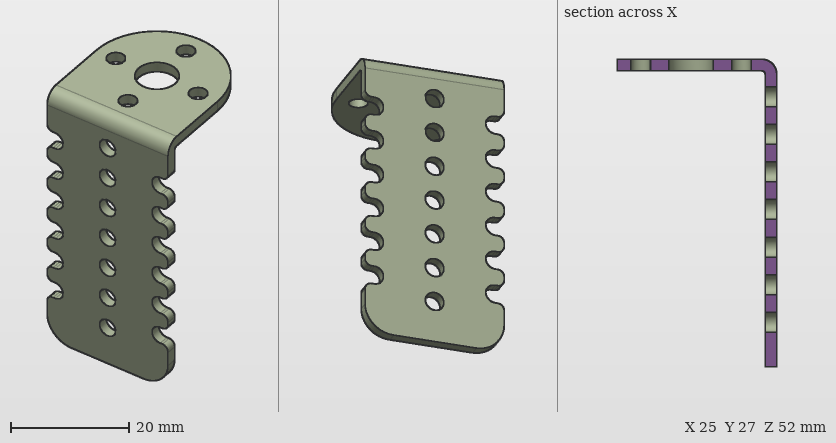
import cadquery as cq

width = 25.0
depth = 27.0
height = 52.0
thickness = 2.0
bend_inner_radius = 0.6
bend_outer_radius = bend_inner_radius + thickness

motor_face_radius = width / 2
boss_hole_diameter = 7.5
screw_hole_diameter = 3.25
screw_circle_diameter = 17.0
screw_count = 4

hole_pitch = 6.35
leg_hole_count = 7
leg_hole_diameter = 3.3
top_hole_drop = 6.35
notch_count = leg_hole_count - 1
notch_width = 3.3
notch_depth = 3.3
notch_lip_radius = 1.2
leg_corner_radius = 5.08

front_y = motor_face_radius - depth
top_hole_z = -top_hole_drop
top_notch_z = top_hole_z - hole_pitch / 2
bottom_z = -height


def bent_sheet():
    """L-shaped sheet with concentric bend radii, spanning the full width."""
    back_y = motor_face_radius
    profile = (
        cq.Workplane("YZ")
        .moveTo(back_y, 0)
        .lineTo(front_y + bend_outer_radius, 0)
        .radiusArc((front_y, -bend_outer_radius), -bend_outer_radius)
        .lineTo(front_y, bottom_z)
        .lineTo(front_y + thickness, bottom_z)
        .lineTo(front_y + thickness, -bend_outer_radius)
        .radiusArc((front_y + bend_outer_radius, -thickness), bend_inner_radius)
        .lineTo(back_y, -thickness)
        .close()
    )
    return profile.extrude(width / 2, both=True)


def motor_face_outline():
    """Plan outline: straight sides from the bend, closed by a half circle."""
    half_width = width / 2
    return (
        cq.Workplane("XY")
        .moveTo(-half_width, front_y)
        .lineTo(half_width, front_y)
        .lineTo(half_width, 0)
        .threePointArc((0, motor_face_radius), (-half_width, 0))
        .close()
        .extrude(bottom_z)
    )


def motor_face_holes():
    """Central boss hole and the ring of screw holes around it."""
    boss_hole = cq.Workplane("XY").circle(boss_hole_diameter / 2).extrude(-thickness)
    screw_holes = (
        cq.Workplane("XY")
        .polarArray(screw_circle_diameter / 2, 0, 360, screw_count)
        .circle(screw_hole_diameter / 2)
        .extrude(-thickness)
    )
    return boss_hole.union(screw_holes)


def leg_holes():
    """Column of evenly spaced holes down the middle of the leg."""
    centres = [(0, top_hole_z - i * hole_pitch) for i in range(leg_hole_count)]
    return (
        cq.Workplane("XZ", origin=(0, front_y, 0))
        .pushPoints(centres)
        .circle(leg_hole_diameter / 2)
        .extrude(-thickness)
    )


def edge_notch(side, centre_z):
    """Round-ended notch in one side edge (side = -1 or 1), flaring out through rounded lips."""
    edge_x = side * width / 2
    lip_x = edge_x - side * notch_lip_radius
    round_x = edge_x - side * (notch_depth - notch_width / 2)
    end_x = edge_x - side * notch_depth
    half_notch = notch_width / 2
    half_mouth = half_notch + notch_lip_radius
    return (
        cq.Workplane("XZ", origin=(0, front_y, 0))
        .moveTo(edge_x, centre_z + half_mouth)
        .radiusArc((lip_x, centre_z + half_notch), side * notch_lip_radius)
        .lineTo(round_x, centre_z + half_notch)
        .threePointArc((end_x, centre_z), (round_x, centre_z - half_notch))
        .lineTo(lip_x, centre_z - half_notch)
        .radiusArc((edge_x, centre_z - half_mouth), side * notch_lip_radius)
        .close()
        .extrude(-thickness)
    )


bracket = bent_sheet().intersect(motor_face_outline())
bracket = bracket.faces("<Z").edges("|Y").fillet(leg_corner_radius)
bracket = bracket.cut(motor_face_holes()).cut(leg_holes())
for index in range(notch_count):
    for edge_side in (-1, 1):
        bracket = bracket.cut(edge_notch(edge_side, top_notch_z - index * hole_pitch))

result = bracket